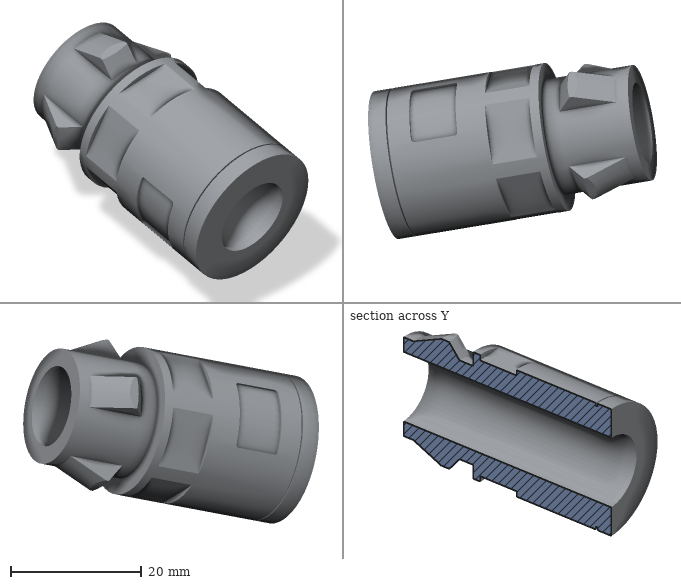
import cadquery as cq
import math

length = 40.5
bore_diameter = 12.5
spigot_diameter = 18.0
spigot_length = 13.53
body_diameter = 23.0
recess_diameter = 22.0

flats_start = 15.0
flats_end = 22.0
across_flats = 21.0

pocket_start = 26.65
pocket_end = 33.98
pocket_width = 10.55
pocket_corner_radius = 0.5

groove_start = 37.5
groove_width = 0.25

barb_count = 4
barb_start = 1.95
barb_end = 10.95
barb_width = 5.1
barb_crest = body_diameter / 2
barb_peak_start = 8.2
barb_peak_end = 8.63
barb_root = -4.05


def cylinder(diameter, start, end):
    """Solid cylinder on the X axis between two X positions."""
    return cq.Workplane("YZ", origin=(start, 0, 0)).circle(diameter / 2).extrude(end - start)


def ring(inner_diameter, start, end):
    """Ring reaching beyond the body surface, for cutting down to inner_diameter."""
    return cylinder(2 * body_diameter, start, end).cut(cylinder(inner_diameter, start, end))


def ramp(start, end, rise):
    """Prism with a spigot-curved top that climbs by rise from start to end."""
    half_width = barb_width / 2
    radius = spigot_diameter / 2
    edge_height = math.sqrt(radius**2 - half_width**2)
    profile = (
        cq.Workplane("YZ", origin=(start, 0, 0))
        .moveTo(-half_width, barb_root)
        .lineTo(half_width, barb_root)
        .lineTo(half_width, edge_height)
        .threePointArc((0, radius), (-half_width, edge_height))
        .close()
    )
    direction = cq.Vector(end - start, 0, rise)
    return cq.Workplane(cq.Solid.extrudeLinear(profile.wire().val(), [], direction))


def make_barb():
    """One barb on the +Z side: two curved ramps meeting at a flat crest."""
    barb_length = barb_end - barb_start
    edge_height = math.sqrt((spigot_diameter / 2) ** 2 - (barb_width / 2) ** 2)
    edge_rise = barb_crest - edge_height
    front_slope = edge_rise / (barb_peak_start - barb_start)
    rear_slope = edge_rise / (barb_end - barb_peak_end)
    front_ramp = ramp(barb_start, barb_end, front_slope * barb_length)
    rear_ramp = ramp(barb_end, barb_start, rear_slope * barb_length)
    base = (bore_diameter + spigot_diameter) / 4
    envelope = (
        cq.Workplane("XY", origin=(barb_start, 0, base))
        .box(barb_length, barb_width, barb_crest - base, centered=(False, True, False))
    )
    return front_ramp.intersect(rear_ramp).intersect(envelope)


def make_flats_cutter():
    """Everything outside the hexagon over the length of the wrench flats."""
    across_corners = across_flats / math.cos(math.pi / 6)
    hexagon = (
        cq.Workplane("YZ", origin=(flats_start, 0, 0))
        .polygon(6, across_corners)
        .extrude(flats_end - flats_start)
    )
    return cylinder(2 * body_diameter, flats_start, flats_end).cut(hexagon)


def make_pocket_cutter():
    """Rounded rectangle through both Y sides, limited to the recess depth."""
    pocket_length = pocket_end - pocket_start
    block = (
        cq.Workplane("XY", origin=((pocket_start + pocket_end) / 2, 0, 0))
        .box(pocket_length, 2 * body_diameter, pocket_width)
        .edges("|Y")
        .fillet(pocket_corner_radius)
    )
    return block.intersect(ring(recess_diameter, pocket_start, pocket_end))


result = cylinder(spigot_diameter, 0, spigot_length)
result = result.union(cylinder(body_diameter, spigot_length, length))
result = result.cut(make_flats_cutter())
result = result.cut(make_pocket_cutter())
result = result.cut(ring(recess_diameter, groove_start, groove_start + groove_width))

barb = make_barb()
for index in range(barb_count):
    angle = index * 360 / barb_count
    result = result.union(barb.rotate((0, 0, 0), (1, 0, 0), angle))

result = result.cut(cylinder(bore_diameter, 0, length))